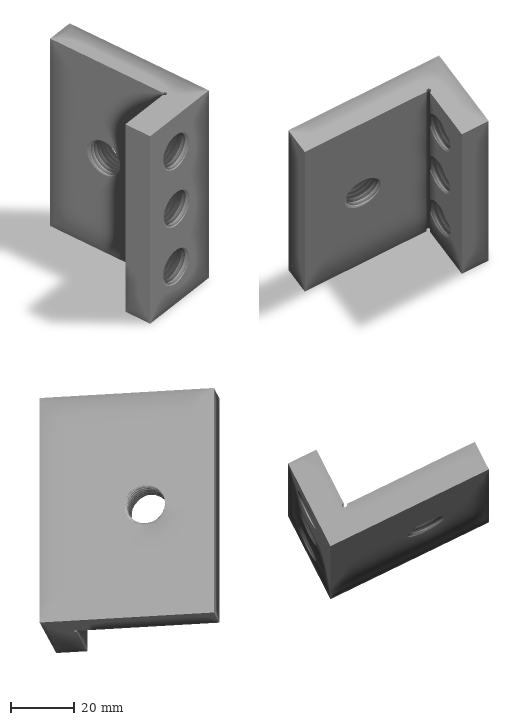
import cadquery as cq
import math

width = 55.9
depth = 30.0
height = 75.0
wall = 10.0

relief_radius = 0.75

bore_diameter = 12.5
thread_diameter = 14.2
thread_pitch = 1.5
thread_crest_width = 0.19
flank_angle = math.radians(30)
flank_intervals = 12

plate_hole_x = 21.9
leg_hole_spacing = 23.0
outer_leg_hole_y = 16.6
middle_leg_hole_y = 16.3

leg_face_x = width - wall
plate_face_y = depth - wall


def bracket():
    """L-shaped section extruded along Z, with the corner relief cut out."""
    outline = [
        (0, plate_face_y),
        (leg_face_x, plate_face_y),
        (leg_face_x, 0),
        (width, 0),
        (width, depth),
        (0, depth),
    ]
    body = cq.Workplane("XY").workplane(offset=-height / 2).polyline(outline).close().extrude(height)
    relief = (
        cq.Workplane("XY")
        .workplane(offset=-height / 2)
        .center(leg_face_x, plate_face_y)
        .circle(relief_radius)
        .extrude(height)
    )
    return body.cut(relief)


def polar(radius, angle):
    """Cartesian point at the given radius and angle."""
    return (radius * math.cos(angle), radius * math.sin(angle))


def threaded_core():
    """Space inside a threaded hole, along +Z from the entry face.

    A helical thread has the same cross-section at every depth, only turned,
    so that section is extruded with a twist of one turn per pitch.
    At the entry face the thread is deepest in the +X direction.
    """
    bore_radius = bore_diameter / 2
    thread_radius = thread_diameter / 2
    half_crest = thread_crest_width / 2
    half_mouth = half_crest + (thread_radius - bore_radius) * math.tan(flank_angle)
    crest_angle = 2 * math.pi * half_crest / thread_pitch
    mouth_angle = 2 * math.pi * half_mouth / thread_pitch

    def rising_flank(t):
        radius = bore_radius + t * (thread_radius - bore_radius)
        return polar(radius, -mouth_angle + t * (mouth_angle - crest_angle))

    def falling_flank(t):
        radius = thread_radius - t * (thread_radius - bore_radius)
        return polar(radius, crest_angle + t * (mouth_angle - crest_angle))

    section = (
        cq.Workplane("XY")
        .parametricCurve(rising_flank, N=flank_intervals, makeWire=False)
        .moveTo(*polar(thread_radius, -crest_angle))
        .threePointArc((thread_radius, 0), polar(thread_radius, crest_angle))
        .parametricCurve(falling_flank, N=flank_intervals, makeWire=False)
        .moveTo(*polar(bore_radius, mouth_angle))
        .threePointArc((-bore_radius, 0), polar(bore_radius, -mouth_angle))
        .wire()
    )
    return section.twistExtrude(wall, 360 * wall / thread_pitch).val()


def cut_threaded_hole(body, core, face_centre, inward, thread_start):
    """Cut a threaded hole through one wall, starting at face_centre."""
    plane = cq.Plane(origin=face_centre, xDir=thread_start, normal=inward)
    placed_core = core.moved(cq.Location(plane))
    return body.cut(cq.Workplane(placed_core))


core = threaded_core()
result = bracket()

result = cut_threaded_hole(result, core, (plate_hole_x, plate_face_y, 0), (0, 1, 0), (-1, 0, 0))

leg_holes = [
    (outer_leg_hole_y, -leg_hole_spacing),
    (middle_leg_hole_y, 0),
    (outer_leg_hole_y, leg_hole_spacing),
]
for back_distance, z in leg_holes:
    face_centre = (leg_face_x, depth - back_distance, z)
    result = cut_threaded_hole(result, core, face_centre, (1, 0, 0), (0, 0, -1))